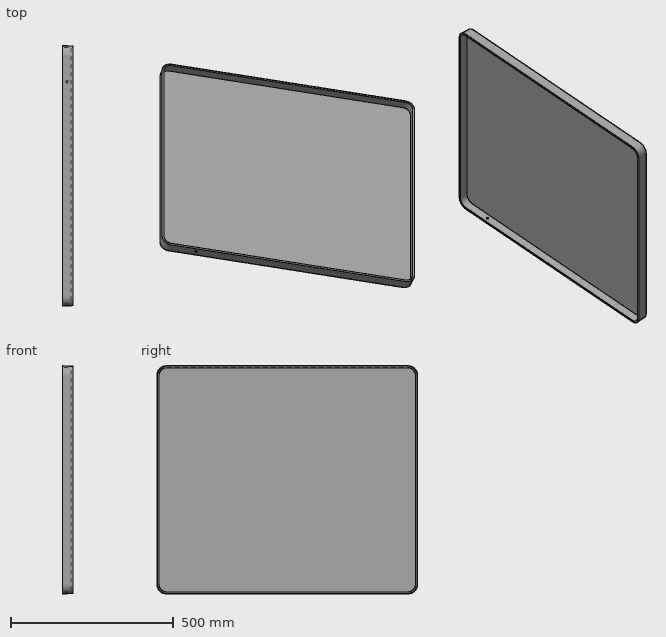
import cadquery as cq
import math

depth = 33.0
width = 799.98
height = 700.6
corner_radius = 29.6

rim_thickness = 6.0
outer_draft = 2.5
inner_draft = 1.0

panel_thickness = 6.0

hole_diameter = 7.0
hole_x = 14.0
hole_y = 289.0


def tapered_slab(inset, start_x, length, draft):
    """Rounded rectangle, inset from the rim outline, that narrows toward +X."""
    outline = (
        cq.Sketch()
        .rect(width - 2 * inset, height - 2 * inset)
        .vertices()
        .fillet(corner_radius - inset)
    )
    return (
        cq.Workplane("YZ", origin=(start_x, 0, 0))
        .placeSketch(outline)
        .extrude(length, taper=draft)
    )


def make_frame():
    """Drafted rectangular ring with a drain hole in its bottom wall."""
    outside = tapered_slab(0, 0, depth, outer_draft)
    opening = tapered_slab(rim_thickness, 0, depth, inner_draft)
    drain = (
        cq.Workplane("XY", origin=(hole_x, hole_y, -height / 2))
        .circle(hole_diameter / 2)
        .extrude(height / 2)
    )
    return outside.cut(opening).cut(drain)


def make_panel():
    """Flat plate that fills the frame opening, flush with the +X end."""
    floor_x = depth - panel_thickness
    inset_at_floor = rim_thickness + floor_x * math.tan(math.radians(inner_draft))
    return tapered_slab(inset_at_floor, floor_x, panel_thickness, inner_draft)


frame = make_frame().solids()
panel = make_panel()

result = cq.Compound.makeCompound([frame.val(), panel.val()])